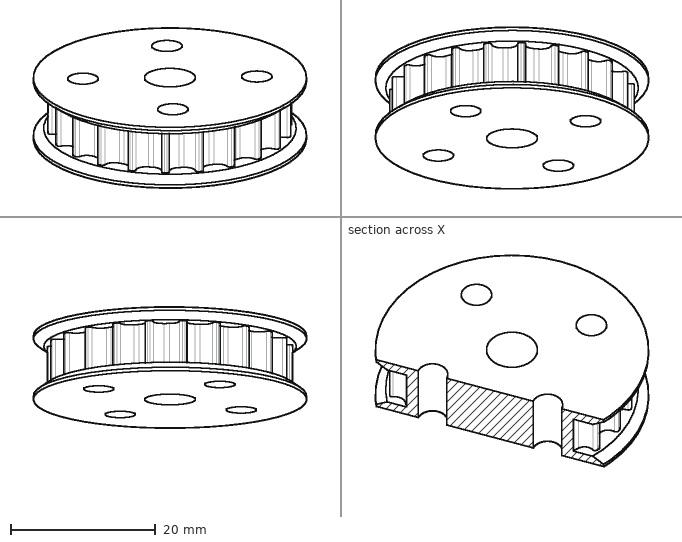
import cadquery as cq
import math

flange_diameter = 37.73
total_height = 9.0

flange_height = 1.5
flange_rim_height = 0.5
flange_inner_diameter = 34.85

tooth_count = 22
drum_diameter = 33.85
drum_radius = drum_diameter / 2
groove_floor_radius = 14.95
groove_half_width = 1.8
tooth_tip_fillet = 0.38

bore_diameter = 7.0
bolt_hole_diameter = 4.2
bolt_spacing = 16.98

fillet_center_x = groove_half_width + tooth_tip_fillet
fillet_center_y = math.sqrt((drum_radius - tooth_tip_fillet) ** 2 - fillet_center_x ** 2)
wall_radius = fillet_center_y - groove_floor_radius
floor_half_width = groove_half_width - wall_radius


def arc_point(center_x, center_y, radius, angle):
    """Point on a circle at an angle in radians."""
    return (center_x + radius * math.cos(angle), center_y + radius * math.sin(angle))


def mirrored(point):
    """The same point on the other side of the groove's centre plane."""
    return (-point[0], point[1])


def make_flange():
    """Flange standing on z = 0 with its cone pointing up."""
    rim_radius = flange_diameter / 2
    profile = [
        (0, 0),
        (rim_radius, 0),
        (rim_radius, flange_rim_height),
        (flange_inner_diameter / 2, flange_height),
        (0, flange_height),
    ]
    return cq.Workplane("XZ").polyline(profile).close().revolve(360, (0, 0), (0, 1))


def make_groove():
    """Cutter for one belt groove, centred on +Y, as tall as the drum."""
    tip_angle = math.atan2(fillet_center_y, fillet_center_x)
    tip = arc_point(0, 0, drum_radius, tip_angle)
    tip_middle = arc_point(fillet_center_x, fillet_center_y, tooth_tip_fillet, (tip_angle + math.pi) / 2)
    wall_top = (groove_half_width, fillet_center_y)
    wall_middle = arc_point(floor_half_width, fillet_center_y, wall_radius, -math.pi / 4)
    floor_end = (floor_half_width, groove_floor_radius)
    return (
        cq.Workplane("XY", origin=(0, 0, flange_height))
        .moveTo(*tip)
        .threePointArc(tip_middle, wall_top)
        .threePointArc(wall_middle, floor_end)
        .lineTo(*mirrored(floor_end))
        .threePointArc(mirrored(wall_middle), mirrored(wall_top))
        .threePointArc(mirrored(tip_middle), mirrored(tip))
        .threePointArc((0, drum_radius), tip)
        .close()
        .extrude(total_height - 2 * flange_height)
    )


def make_drum():
    """Toothed drum between the flanges, with one groove centred on the Y axis."""
    drum = (
        cq.Workplane("XY", origin=(0, 0, flange_height))
        .circle(drum_radius)
        .extrude(total_height - 2 * flange_height)
    )
    groove = make_groove()
    for index in range(tooth_count):
        drum = drum.cut(groove.rotate((0, 0, 0), (0, 0, 1), index * 360 / tooth_count))
    return drum


lower_flange = make_flange()
upper_flange = lower_flange.mirror("XY").translate((0, 0, total_height))
pulley = make_drum().union(lower_flange).union(upper_flange)

bore = cq.Workplane("XY").circle(bore_diameter / 2).extrude(total_height)
bolt_holes = (
    cq.Workplane("XY")
    .rect(bolt_spacing, bolt_spacing, forConstruction=True)
    .vertices()
    .circle(bolt_hole_diameter / 2)
    .extrude(total_height)
)

result = pulley.cut(bore).cut(bolt_holes)